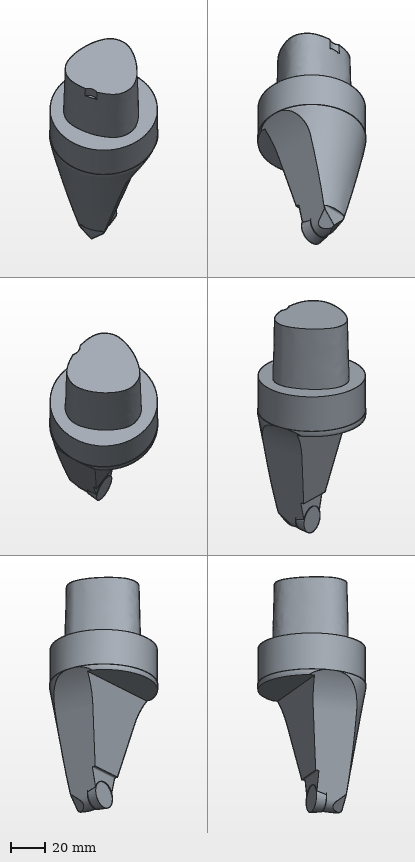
import cadquery as cq
import math

TOTAL_HEIGHT = 138.1
FLANGE_TOP = 100.0
FLANGE_BOTTOM = 78.0
RING_BOTTOM = 76.0

FLANGE_RADIUS = 31.5
RING_RADIUS = 31.8
NECK_CONE_ANGLE = 10.0
FLANK_ANGLE = 15.0
FLANK_TOP = 57.5
FLARE_RADIUS = 49.0
NOSE_RADIUS = 6.8

BACK_RIM_BOTTOM = 74.6
BACK_TOP_Y = 10.0
BACK_STEP_Y = 2.0
BACK_STEP_Z = 22.4
LAND_Y = -0.1
LAND_FILLET = 0.7

FRONT_FLAT_Y = -18.9
FRONT_FLAT_TOP = 13.1
SHELF_FILLET = 1.0
V_TIP_Z = 2.3
V_SLOPE = 1.1
V_DRAFT = 0.565
V_DEPTH = 9.7

SHANK_RADIUS = 22.17
LOBE_HEIGHT = 1.7
LOBE_CORRECTION = -0.21
SHANK_TAPER = 1.0
SHANK_POINTS = 36

NOTCH_RADIUS = 6.2
NOTCH_DEEPEST_Y = -18.0
NOTCH_HEIGHT = 6.4

INSERT_RADIUS = 8.1
INSERT_THICKNESS = 6.8
INSERT_FACE_Y = 0.3
INSERT_CLEARANCE_ANGLE = 7.0

MARGIN = 41.4


def make_insert():
    """Round insert, narrowing from its +Y face toward -Y."""
    rear_radius = INSERT_RADIUS - INSERT_THICKNESS * math.tan(math.radians(INSERT_CLEARANCE_ANGLE))
    cone = cq.Solid.makeCone(
        INSERT_RADIUS,
        rear_radius,
        INSERT_THICKNESS,
        pnt=cq.Vector(0, INSERT_FACE_Y, INSERT_RADIUS),
        dir=cq.Vector(0, -1, 0),
    )
    return cq.Workplane(obj=cone)


def lobed_point(angle, mean_radius):
    """Point of the three-lobed outline whose outward normal has the given angle; one lobe faces +Y."""
    turn = angle - math.pi / 2
    distance = mean_radius + LOBE_HEIGHT * math.cos(3 * turn) + LOBE_CORRECTION * math.cos(6 * turn)
    slope = -3 * LOBE_HEIGHT * math.sin(3 * turn) - 6 * LOBE_CORRECTION * math.sin(6 * turn)
    x = distance * math.cos(angle) - slope * math.sin(angle)
    y = distance * math.sin(angle) + slope * math.cos(angle)
    return x, y


def lobed_wire(mean_radius, z):
    points = [
        cq.Vector(*lobed_point(2 * math.pi * i / SHANK_POINTS, mean_radius), z)
        for i in range(SHANK_POINTS)
    ]
    return cq.Wire.assembleEdges([cq.Edge.makeSpline(points, periodic=True)])


def make_shank():
    bottom = lobed_wire(SHANK_RADIUS, FLANGE_TOP)
    top = lobed_wire(SHANK_RADIUS - SHANK_TAPER, TOTAL_HEIGHT)
    shank = cq.Workplane(obj=cq.Solid.makeLoft([bottom, top]))
    notch = (
        cq.Workplane("XY", origin=(0, NOTCH_DEEPEST_Y - NOTCH_RADIUS, TOTAL_HEIGHT - NOTCH_HEIGHT))
        .circle(NOTCH_RADIUS)
        .extrude(NOTCH_HEIGHT)
    )
    return shank.cut(notch)


def make_flange():
    return (
        cq.Workplane("XY", origin=(0, 0, FLANGE_BOTTOM))
        .circle(FLANGE_RADIUS)
        .extrude(FLANGE_TOP - FLANGE_BOTTOM)
    )


def neck_envelope():
    """Ring and cone turned about the tool axis."""
    bottom_radius = RING_RADIUS - RING_BOTTOM * math.tan(math.radians(NECK_CONE_ANGLE))
    return (
        cq.Workplane("XZ")
        .polyline([
            (0, 0),
            (bottom_radius, 0),
            (RING_RADIUS, RING_BOTTOM),
            (RING_RADIUS, FLANGE_BOTTOM),
            (0, FLANGE_BOTTOM),
        ])
        .close()
        .revolve(360, (0, 0), (0, 1))
    )


def neck_side_outline():
    """Prism along Y: round nose, flat flanks and flared top."""
    lean = math.radians(FLANK_ANGLE)
    nose_x = NOSE_RADIUS * math.cos(lean)
    nose_z = INSERT_RADIUS - NOSE_RADIUS * math.sin(lean)
    flank_x = nose_x + (FLANK_TOP - nose_z) * math.tan(lean)

    centre_x = flank_x + FLARE_RADIUS * math.cos(lean)
    centre_z = FLANK_TOP - FLARE_RADIUS * math.sin(lean)
    end_angle = math.asin((FLANGE_BOTTOM - centre_z) / FLARE_RADIUS)
    middle_angle = (lean + end_angle) / 2

    def flare_point(angle):
        return centre_x - FLARE_RADIUS * math.cos(angle), centre_z + FLARE_RADIUS * math.sin(angle)

    middle_x, middle_z = flare_point(middle_angle)
    top_x, top_z = flare_point(end_angle)
    return (
        cq.Workplane("XZ")
        .moveTo(nose_x, nose_z)
        .lineTo(flank_x, FLANK_TOP)
        .threePointArc((middle_x, middle_z), (top_x, top_z))
        .lineTo(-top_x, top_z)
        .threePointArc((-middle_x, middle_z), (-flank_x, FLANK_TOP))
        .lineTo(-nose_x, nose_z)
        .threePointArc((0, INSERT_RADIUS - NOSE_RADIUS), (nose_x, nose_z))
        .close()
        .extrude(MARGIN, both=True)
    )


def back_cut():
    """Material removed behind the neck, on the +Y side."""
    return (
        cq.Workplane("YZ")
        .polyline([
            (BACK_TOP_Y, BACK_RIM_BOTTOM),
            (BACK_STEP_Y, BACK_STEP_Z),
            (LAND_Y, BACK_STEP_Z),
            (LAND_Y, -MARGIN),
            (MARGIN, -MARGIN),
            (MARGIN, BACK_RIM_BOTTOM),
        ])
        .close()
        .extrude(MARGIN, both=True)
        .edges(cq.selectors.NearestToPointSelector((0, LAND_Y, BACK_STEP_Z)))
        .fillet(LAND_FILLET)
    )


def front_flat_cut():
    """Material removed in front of the nose, on the -Y side."""
    block = cq.Workplane("XY").box(2 * MARGIN, MARGIN, MARGIN)
    block = block.faces(">Y").edges(">Z").fillet(SHELF_FILLET)
    return block.translate((0, FRONT_FLAT_Y - MARGIN / 2, FRONT_FLAT_TOP - MARGIN / 2))


def v_relief_cut():
    """Everything below a V whose tip falls away from the front flat toward +Y."""
    def v_wire(y):
        tip_z = V_TIP_Z - V_DRAFT * (y - FRONT_FLAT_Y)
        arm_z = tip_z + V_SLOPE * MARGIN
        return cq.Wire.makePolygon(
            [
                cq.Vector(0, y, tip_z),
                cq.Vector(MARGIN, y, arm_z),
                cq.Vector(MARGIN, y, tip_z - MARGIN),
                cq.Vector(-MARGIN, y, tip_z - MARGIN),
                cq.Vector(-MARGIN, y, arm_z),
            ],
            close=True,
        )

    wires = [v_wire(FRONT_FLAT_Y), v_wire(FRONT_FLAT_Y + V_DEPTH)]
    lower_nose = cq.Workplane("XY").box(2 * MARGIN, 2 * MARGIN, MARGIN).translate(
        (0, 0, FRONT_FLAT_TOP - MARGIN / 2)
    )
    return cq.Workplane(obj=cq.Solid.makeLoft(wires, True)).intersect(lower_nose)


def make_neck():
    neck = neck_envelope().intersect(neck_side_outline())
    return neck.cut(back_cut()).cut(front_flat_cut()).cut(v_relief_cut())


insert = make_insert()
holder = make_flange().union(make_shank()).union(make_neck()).cut(insert)

result = cq.Compound.makeCompound([holder.val(), insert.val()])